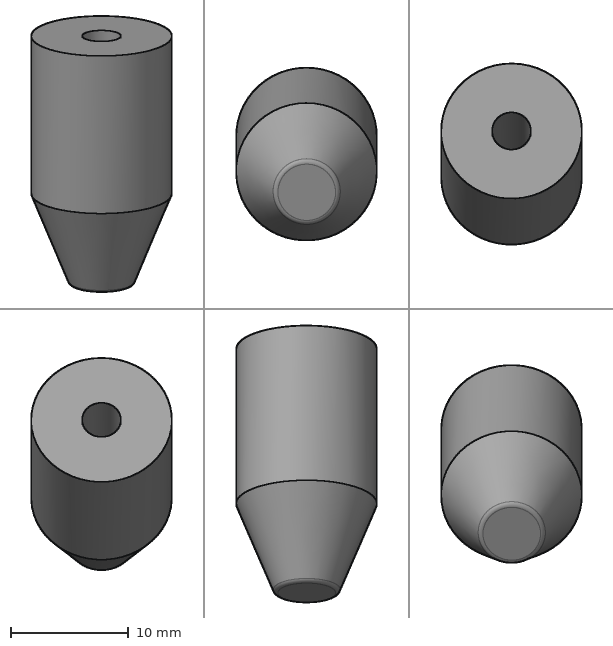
import cadquery as cq
import math

total_height = 22.0
body_radius = 12.0 / 2
taper_height = 8.0

tip_radius = 2.75
tip_fillet = 0.45

hole_radius = 1.65
hole_depth = 12.0
drill_point_angle = 118.0


def make_body():
    """Cylinder that tapers to a flat tip with a rounded edge."""
    profile = (
        cq.Workplane("XZ")
        .lineTo(tip_radius, 0)
        .lineTo(body_radius, taper_height)
        .lineTo(body_radius, total_height)
        .lineTo(0, total_height)
        .close()
    )
    body = profile.revolve(360, (0, 0, 0), (0, 1, 0))
    return body.faces("<Z").edges().fillet(tip_fillet)


def make_hole():
    """Cylindrical bore ending in a conical drill point."""
    point_height = hole_radius / math.tan(math.radians(drill_point_angle / 2))
    bore_bottom = total_height - hole_depth
    profile = (
        cq.Workplane("XZ")
        .moveTo(0, bore_bottom - point_height)
        .lineTo(hole_radius, bore_bottom)
        .lineTo(hole_radius, total_height)
        .lineTo(0, total_height)
        .close()
    )
    return profile.revolve(360, (0, 0, 0), (0, 1, 0))


result = make_body().cut(make_hole())